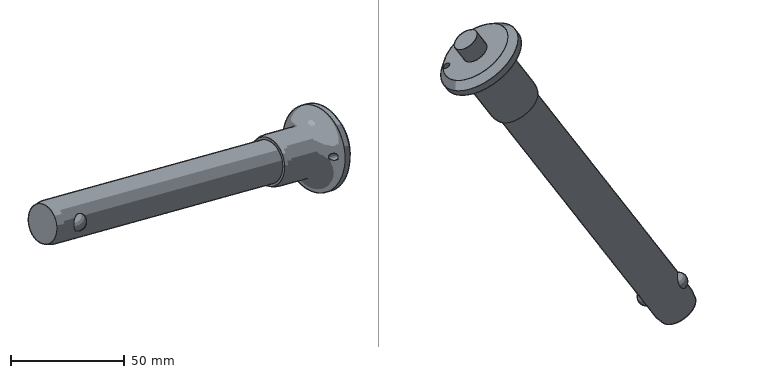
import cadquery as cq
import math

total_length = 180.1
tip_y = -total_length / 2
button_end_y = total_length / 2

button_radius = 6.0
button_length = 8.3
rim_radius = 20.0
rim_bevel_width = 3.2
rim_bevel_length = 3.2
rim_length = 3.0
neck_radius = 11.9
flare_radius = 8.6
neck_length = 16.0

collar_taper_length = 2.2
collar_middle_radius = 11.7
collar_bevel_length = 1.6
collar_end_radius = 11.2

shank_radius = 10.0
tip_radius = 9.2
tip_length = 4.0

ball_radius = 4.1
ball_reach = 12.5
ball_from_tip = 13.3
lanyard_hole_diameter = 3.2
lanyard_hole_offset = 15.0

rim_back_y = button_end_y - button_length
rim_bevel_y = rim_back_y - rim_bevel_length
rim_front_y = rim_bevel_y - rim_length
flare_center_radius = neck_radius + flare_radius
flare_length = math.sqrt(flare_radius**2 - (flare_center_radius - rim_radius) ** 2)
flare_end_y = rim_front_y - flare_length
neck_end_y = flare_end_y - neck_length
collar_middle_y = neck_end_y - collar_taper_length
collar_end_y = collar_middle_y - collar_bevel_length
shank_end_y = tip_y + tip_length


def make_turned_body():
    """Revolve the half profile of button, handle, collar and shank about Y."""
    return (
        cq.Workplane("XY")
        .moveTo(0, button_end_y)
        .lineTo(button_radius, button_end_y)
        .lineTo(button_radius, rim_back_y)
        .lineTo(rim_radius - rim_bevel_width, rim_back_y)
        .lineTo(rim_radius, rim_bevel_y)
        .lineTo(rim_radius, rim_front_y)
        .radiusArc((neck_radius, flare_end_y), -flare_radius)
        .lineTo(neck_radius, neck_end_y)
        .lineTo(collar_middle_radius, collar_middle_y)
        .lineTo(collar_end_radius, collar_end_y)
        .lineTo(shank_radius, collar_end_y)
        .lineTo(shank_radius, shank_end_y)
        .lineTo(tip_radius, tip_y)
        .lineTo(0, tip_y)
        .close()
        .revolve(360, (0, 0, 0), (0, 1, 0))
    )


def make_locking_ball(side):
    """Ball protruding from the shank on the given X side (-1 or +1)."""
    ball_x = side * (ball_reach - ball_radius)
    return cq.Workplane("XY").sphere(ball_radius).translate((ball_x, tip_y + ball_from_tip, 0))


def make_lanyard_hole():
    """Cutter parallel to the axis, through the whole flange."""
    return (
        cq.Workplane("XZ", origin=(lanyard_hole_offset, rim_back_y, 0))
        .circle(lanyard_hole_diameter / 2)
        .extrude(rim_back_y - flare_end_y)
    )


result = make_turned_body()
for side in (-1, 1):
    result = result.union(make_locking_ball(side))
result = result.cut(make_lanyard_hole())